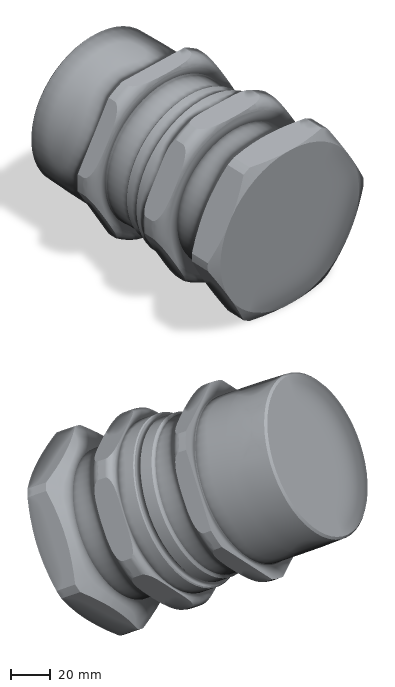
import cadquery as cq
import math


flat_width = 95.0
corner_diameter = flat_width / math.cos(math.radians(30))

sleeve_r = 88.5 / 2
sleeve_tip_r = 87.5 / 2
sleeve_tip_chamfer = 1.2
sleeve_barrel_end = 24.4
sleeve_end = 43.8
sleeve_end_flare = 0.5

nut_corner_r = 52.0

first_nut_end = 54.1
first_nut_round = 6.0
stem_r = 84.4 / 2
stem_shoulder_height = 0.5
stem_shoulder_end = 55.1
stem_end = 69.8

ring_r = 87.2 / 2
ring_left_chamfer = 1.5
ring_right_chamfer = 1.3
ring_end = 79.5
spigot_r = 78.3 / 2

collar_start = 80.3
collar_r = 92.1 / 2
collar_chamfer = 0.6
second_nut_start = 90.3
second_nut_end = 104.3
second_nut_left_round = 3.7
second_nut_right_round = 6.0
neck_r = 79.7 / 2

cap_start = 122.9
cap_corner_r = 107.0 / 2
cap_corner_start = 129.5
cap_corner_end = 141.2
cap_end_r = 47.6
cap_end = 144.2


def profile_start(x):
    """Begin a half section on the axis, drawn as (x, radius)."""
    return cq.Workplane("XY").moveTo(x, 0)


def revolve_about_x(profile):
    return profile.close().revolve(360, (0, 0, 0), (1, 0, 0))


def hexagon(start, end):
    return cq.Workplane("YZ", origin=(start, 0, 0)).polygon(6, corner_diameter).extrude(end - start)


def cylinder(start, end, radius):
    return cq.Workplane("YZ", origin=(start, 0, 0)).circle(radius).extrude(end - start)


def round_nut(start, end, left_round, right_round):
    """Hexagon trimmed by a disc whose rims are rounded; a zero left_round keeps that rim sharp."""
    disc = cylinder(start, end, nut_corner_r).faces(">X").edges().fillet(right_round)
    if left_round > 0:
        disc = disc.faces("<X").edges().fillet(left_round)
    return hexagon(start, end).intersect(disc)


def barrel_radius(x):
    """Radius of a circular bulge that runs tangent into the straight part of the sleeve."""
    length = sleeve_barrel_end - sleeve_tip_chamfer
    drop = sleeve_r - sleeve_tip_r
    bulge_r = (length**2 + drop**2) / (2 * drop)
    return sleeve_r - bulge_r + math.sqrt(bulge_r**2 - (sleeve_barrel_end - x) ** 2)


def make_sleeve():
    barrel_middle = (sleeve_tip_chamfer + sleeve_barrel_end) / 2
    return revolve_about_x(
        profile_start(0)
        .lineTo(0, sleeve_tip_r - sleeve_tip_chamfer)
        .lineTo(sleeve_tip_chamfer, sleeve_tip_r)
        .threePointArc((barrel_middle, barrel_radius(barrel_middle)), (sleeve_barrel_end, sleeve_r))
        .lineTo(sleeve_end - sleeve_end_flare, sleeve_r)
        .lineTo(sleeve_end, sleeve_r + sleeve_end_flare)
        .lineTo(sleeve_end, 0)
    )


def make_stem_nut():
    nut = round_nut(sleeve_end, first_nut_end, 0, first_nut_round)
    stem = revolve_about_x(
        profile_start(first_nut_end)
        .lineTo(first_nut_end, stem_r + stem_shoulder_height)
        .lineTo(stem_shoulder_end, stem_r)
        .lineTo(stem_end, stem_r)
        .lineTo(stem_end, 0)
    )
    return nut.union(stem)


def make_ring():
    return revolve_about_x(
        profile_start(stem_end)
        .lineTo(stem_end, ring_r - ring_left_chamfer)
        .lineTo(stem_end + ring_left_chamfer, ring_r)
        .lineTo(ring_end - ring_right_chamfer, ring_r)
        .lineTo(ring_end, ring_r - ring_right_chamfer)
        .lineTo(ring_end, spigot_r)
        .lineTo(collar_start, spigot_r)
        .lineTo(collar_start, 0)
    )


def make_collar_nut():
    collar = cylinder(collar_start, second_nut_start, collar_r).faces("<X").edges().chamfer(collar_chamfer)
    nut = round_nut(second_nut_start, second_nut_end, second_nut_left_round, second_nut_right_round)
    neck = cylinder(second_nut_end, cap_start, neck_r)
    return nut.union(collar).union(neck)


def make_cap_nut():
    turned_blank = revolve_about_x(
        profile_start(cap_start)
        .lineTo(cap_start, neck_r)
        .lineTo(cap_corner_start, cap_corner_r)
        .lineTo(cap_corner_end, cap_corner_r)
        .lineTo(cap_end, cap_end_r)
        .lineTo(cap_end, 0)
    )
    return hexagon(cap_start, cap_end).intersect(turned_blank)


sleeve = make_sleeve()
stem_nut = make_stem_nut()
ring = make_ring()
collar_nut = make_collar_nut()
cap_nut = make_cap_nut()

result = cq.Compound.makeCompound(
    [sleeve.val(), stem_nut.val(), ring.val(), collar_nut.val(), cap_nut.val()]
)